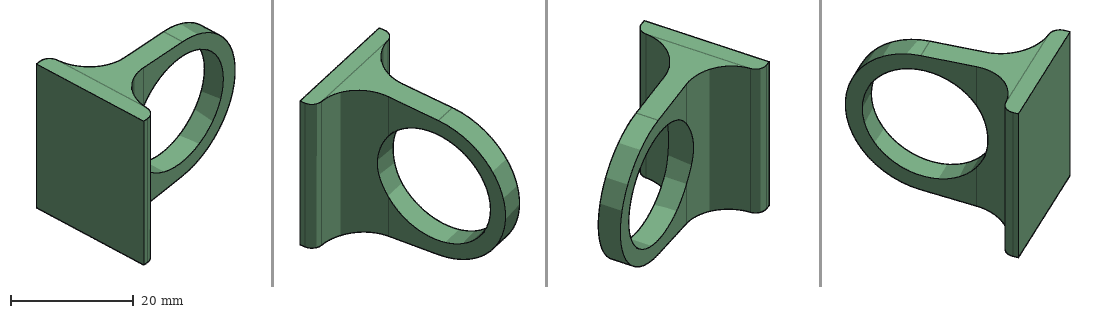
import cadquery as cq
import math

plate_width = 23.0
plate_height = 30.0
plate_thickness = 3.0
edge_radius = 2.0

overall_depth = 34.0
ring_outer_radius = 14.0
hole_radius = 11.0
ring_thickness = 4.08
flare_start = 11.0

ring_center_y = overall_depth - ring_outer_radius
half_width = plate_width / 2
half_height = plate_height / 2
half_thickness = ring_thickness / 2

edge_center_x = half_width - edge_radius
edge_center_y = plate_thickness - edge_radius
center_offset_x = edge_center_x - half_thickness
center_offset_y = flare_start - edge_center_y
flare_radius = (center_offset_x**2 + center_offset_y**2 - edge_radius**2) / (
    2 * (center_offset_x + edge_radius)
)
flare_center_x = half_thickness + flare_radius
edge_to_flare_angle = math.atan2(center_offset_y, flare_center_x - edge_center_x)


def point_on_arc(center_x, center_y, radius, angle):
    return (center_x + radius * math.cos(angle), center_y + radius * math.sin(angle))


def mirrored(point):
    return (-point[0], point[1])


def make_plan_body():
    """Plate, flares and ring thickness as one XY section, extruded along Z."""
    edge_end = point_on_arc(edge_center_x, edge_center_y, edge_radius, edge_to_flare_angle)
    edge_middle = point_on_arc(edge_center_x, edge_center_y, edge_radius, edge_to_flare_angle / 2)
    flare_middle_angle = math.pi + edge_to_flare_angle / 2
    flare_middle = point_on_arc(flare_center_x, flare_start, flare_radius, flare_middle_angle)
    edge_start = (half_width, edge_center_y)
    flare_end = (half_thickness, flare_start)
    return (
        cq.Workplane("XY")
        .workplane(offset=-half_height)
        .moveTo(-half_width, 0)
        .lineTo(half_width, 0)
        .lineTo(*edge_start)
        .threePointArc(edge_middle, edge_end)
        .threePointArc(flare_middle, flare_end)
        .lineTo(half_thickness, overall_depth)
        .lineTo(-half_thickness, overall_depth)
        .lineTo(*mirrored(flare_end))
        .threePointArc(mirrored(flare_middle), mirrored(edge_end))
        .threePointArc(mirrored(edge_middle), mirrored(edge_start))
        .close()
        .extrude(plate_height)
    )


def make_side_body():
    """YZ outline: straight plate ends, tapered sides and a round ring end."""
    corner_offset_y = plate_thickness - ring_center_y
    corner_distance = math.hypot(corner_offset_y, half_height)
    corner_angle = math.atan2(half_height, corner_offset_y)
    tangent_angle = corner_angle - math.acos(ring_outer_radius / corner_distance)
    tangent_y, tangent_z = point_on_arc(ring_center_y, 0, ring_outer_radius, tangent_angle)
    return (
        cq.Workplane("YZ")
        .workplane(offset=-half_width)
        .moveTo(0, -half_height)
        .lineTo(plate_thickness, -half_height)
        .lineTo(tangent_y, -tangent_z)
        .threePointArc((overall_depth, 0), (tangent_y, tangent_z))
        .lineTo(plate_thickness, half_height)
        .lineTo(0, half_height)
        .close()
        .extrude(plate_width)
    )


def make_hole():
    return (
        cq.Workplane("YZ")
        .workplane(offset=-half_width)
        .center(ring_center_y, 0)
        .circle(hole_radius)
        .extrude(plate_width)
    )


result = make_plan_body().intersect(make_side_body()).cut(make_hole())